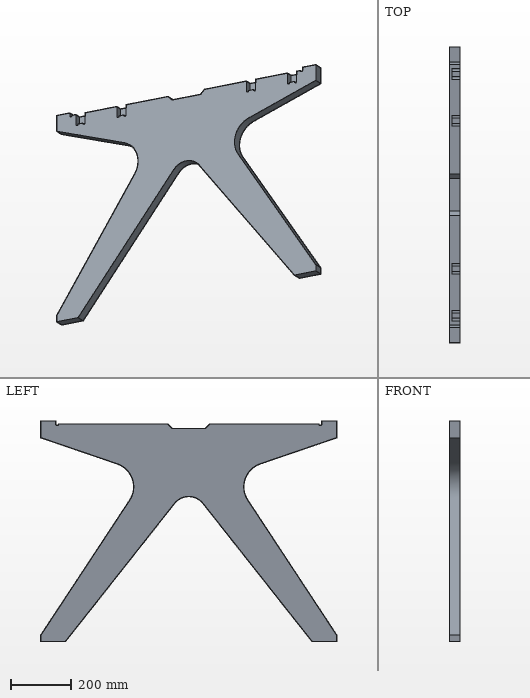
import cadquery as cq

thickness = 35.0
half_span = 490.0
height = 731.0
back_face = -thickness / 2

end_block_width = 50.0
arm_drop = 10.0
recess_depth = 15.0
recess_half_width = 54.0
arm_top = height - arm_drop
recess_floor = arm_top - recess_depth
block_wall = half_span - end_block_width

arm_tip_bottom = 675.0
foot_width = 81.5
foot_height = 22.0
side_corner_y = 139.0
side_corner_z = 555.0
side_radius = 80.0
arch_apex = 517.0
arch_radius = 60.0

pocket_centres = (245.0, 400.0)
pocket_width = 35.0
pocket_wall = 9.0
pocket_depth = 35.0
pocket_back = back_face + pocket_wall
pocket_floor = arm_top - pocket_depth

relief_radius = 4.5


def round_crotch(plate, y, z, radius):
    """Round the sharp plate edge that runs along X through (y, z)."""
    edge = cq.selectors.NearestToPointSelector((0, y, z))
    return plate.edges(edge).fillet(radius)


def make_plate():
    """Extrude the mirror-symmetric outline and round the three crotches."""
    half_outline = [
        (recess_half_width, recess_floor),
        (recess_half_width + recess_depth, arm_top),
        (block_wall, arm_top),
        (block_wall, height),
        (half_span, height),
        (half_span, arm_tip_bottom),
        (side_corner_y, side_corner_z),
        (half_span, foot_height),
        (half_span, 0),
        (half_span - foot_width, 0),
    ]
    mirrored = [(-y, z) for y, z in reversed(half_outline)]
    outline = half_outline + [(0, arch_apex)] + mirrored
    plate = cq.Workplane("YZ").polyline(outline).close().extrude(thickness / 2, both=True)
    for side in (-1, 1):
        plate = round_crotch(plate, side * side_corner_y, side_corner_z, side_radius)
    return round_crotch(plate, 0, arch_apex, arch_radius)


def corner_relief(wall_y, floor_z, inward, x_start):
    """Cylinder along X, touching the wall; inward is the Y direction away from the wall."""
    return (
        cq.Workplane("YZ", origin=(x_start, 0, 0))
        .center(wall_y + inward * relief_radius, floor_z)
        .circle(relief_radius)
        .extrude(thickness / 2 - x_start)
    )


def stretcher_pocket(centre_y):
    """Rectangular pocket with a relief along both ends of its floor."""
    pocket = (
        cq.Workplane("XY")
        .box(thickness - pocket_wall, pocket_width, pocket_depth, centered=(False, True, False))
        .translate((pocket_back, centre_y, pocket_floor))
    )
    for side in (-1, 1):
        wall_y = centre_y + side * pocket_width / 2
        pocket = pocket.union(corner_relief(wall_y, pocket_floor, -side, pocket_back))
    return pocket


result = make_plate()
for side in (-1, 1):
    result = result.cut(corner_relief(side * block_wall, arm_top, -side, back_face))
    for centre in pocket_centres:
        result = result.cut(stretcher_pocket(side * centre))